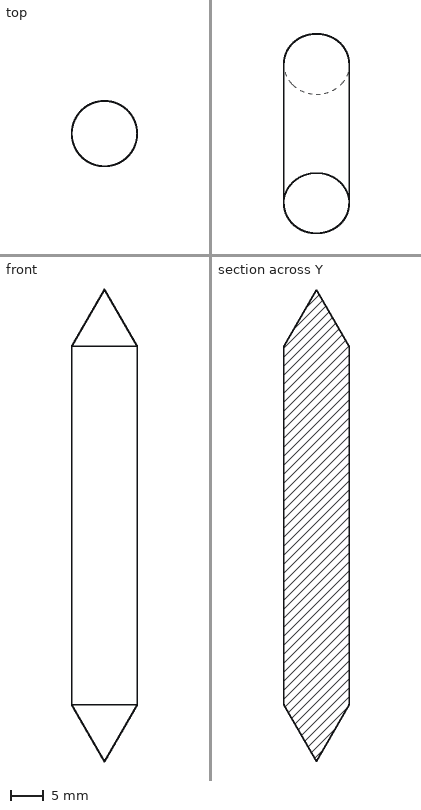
import cadquery as cq
import math

length = 72.0
diameter = 10.0
point_angle = 60.0

radius = diameter / 2
half_length = length / 2
point_height = radius / math.tan(math.radians(point_angle / 2))
shoulder_z = half_length - point_height

half_profile = (
    cq.Workplane("XZ")
    .moveTo(0, -half_length)
    .lineTo(radius, -shoulder_z)
    .lineTo(radius, shoulder_z)
    .lineTo(0, half_length)
    .close()
)

result = half_profile.revolve(360, (0, 0, 0), (0, 1, 0))